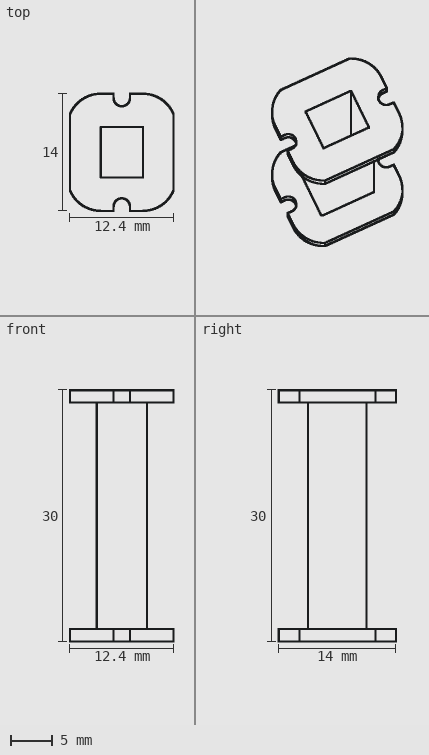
import cadquery as cq

height = 30.0
flange_width = 12.4
flange_depth = 14.0
flange_thickness = 1.5

corner_radius = 4.0
end_flat_width = 5.0

notch_width = 1.92
notch_reach = 1.5

wall = 0.5
bore_width = 5.0
bore_depth = 6.0
tube_corner_radius = 0.2


def make_flange(base_z):
    """Flange plate whose rounded outline is trimmed flat on both X sides."""
    plane = cq.Workplane("XY", origin=(0, 0, base_z))
    rounded_plate = (
        plane.rect(end_flat_width + 2 * corner_radius, flange_depth)
        .extrude(flange_thickness)
        .edges("|Z")
        .fillet(corner_radius)
    )
    side_limits = plane.rect(flange_width, flange_depth).extrude(flange_thickness)
    notches = (
        plane.pushPoints([(0, flange_depth / 2), (0, -flange_depth / 2)])
        .slot2D(2 * notch_reach, notch_width, 90)
        .extrude(flange_thickness)
    )
    return rounded_plate.intersect(side_limits).cut(notches)


tube = (
    cq.Workplane("XY")
    .rect(bore_width + 2 * wall, bore_depth + 2 * wall)
    .extrude(height)
    .edges("|Z")
    .fillet(tube_corner_radius)
)
bore = cq.Workplane("XY").rect(bore_width, bore_depth).extrude(height)

bottom_flange = make_flange(0)
top_flange = make_flange(height - flange_thickness)
result = tube.union(bottom_flange).union(top_flange).cut(bore)